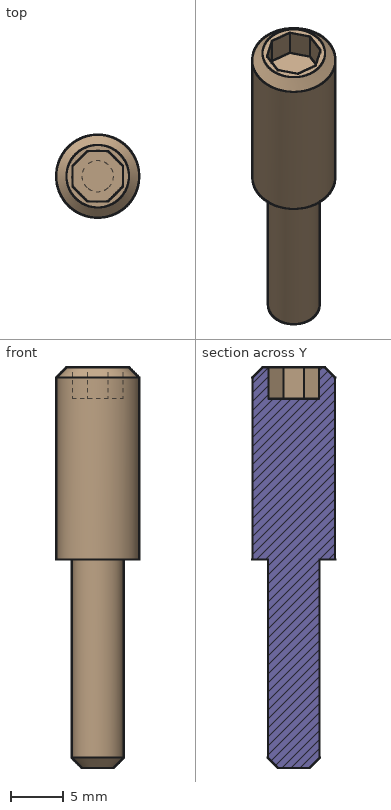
import cadquery as cq
import math

total_length = 38.5
head_diameter = 8.0
head_length = 18.48
shank_diameter = 5
chamfer_size = 1.0

socket_sides = 8
socket_across_flats = 4.8
socket_depth = 3.0

shank_length = total_length - head_length


def make_shank():
    shank = cq.Workplane("XY").circle(shank_diameter / 2).extrude(shank_length)
    return shank.faces("<Z").chamfer(chamfer_size)


def make_head():
    head = cq.Workplane("XY", origin=(0, 0, shank_length)).circle(head_diameter / 2).extrude(head_length)
    return head.faces(">Z").chamfer(chamfer_size)


def make_socket():
    across_corners = socket_across_flats / math.cos(math.pi / socket_sides)
    half_side_angle = 180 / socket_sides
    return (
        cq.Workplane("XY", origin=(0, 0, total_length - socket_depth))
        .transformed(rotate=(0, 0, half_side_angle))
        .polygon(socket_sides, across_corners)
        .extrude(socket_depth)
    )


result = make_shank().union(make_head()).cut(make_socket())